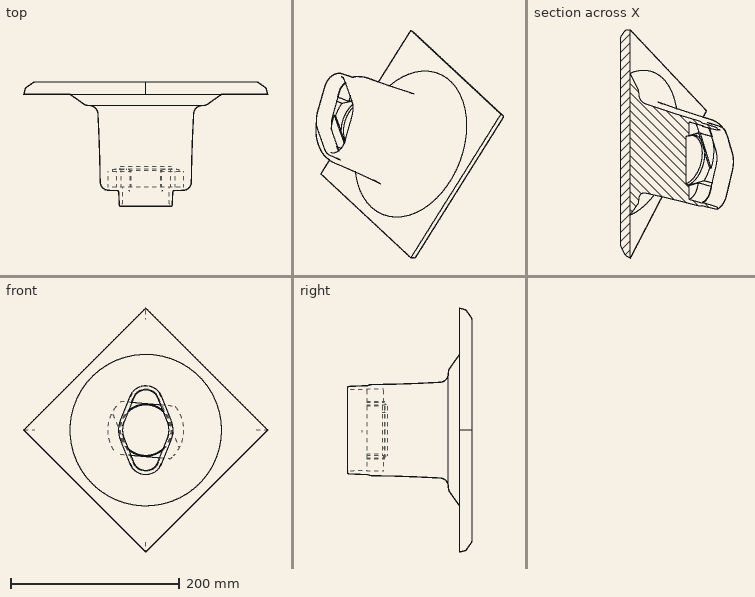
import cadquery as cq
import math

TOTAL_HEIGHT = 148.0
EDGE_TOLERANCE = 0.1

PLATE_SIDE = 205.0
PLATE_TURN = 45.0
PLATE_THICKNESS = 15.0
PLATE_EDGE_HEIGHT = 7.6
PLATE_EDGE_DRAFT = 10.0
PLATE_BEVEL_ANGLE = 45.0
PLATE_BEVEL_ROUND = 5.0
PLATE_BACK_ROUND = 2.5

FLANGE_RADIUS = 90.0
FLANGE_SLOPE = 35.0
FLANGE_HEIGHT = 13.3
FLANGE_ROUND = 10.0
STEP_OUTER_RADIUS = 68.0
STEP_INNER_RADIUS = 67.0
ROOT_ROUND = 10.0
BARREL_TOP_HEIGHT = 128.6
BARREL_TOP_RADIUS = 54.2
BARREL_HOLLOW = 0.6
BARREL_TOP_ROUND = 10.0
CAP_RISE = 1.2

COLLAR_WAIST_RADIUS = 31.5
COLLAR_TIP_RADIUS = 19.4
COLLAR_TIP_REACH = 52.0
COLLAR_ROOT_HEIGHT = 118.0
COLLAR_DRAFT_HEIGHT = 131.0
COLLAR_DRAFT = 2.5
COLLAR_RIM_ROUND = 2.0
COLLAR_ROOT_ROUND = 1.5

KEYWAY_RIM_WALL = 3.4
KEYWAY_MOUTH_DRAFT = 3.0
KEYWAY_NECK_HEIGHT = 139.0
KEYWAY_NECK_DRAFT = 1.0
KEYWAY_RIM_ROUND = 1.0
CHAMBER_TOP_HEIGHT = 125.0
CHAMBER_FLOOR_HEIGHT = 104.0
CHAMBER_RADIUS = 45.0
CHAMBER_HALF_WIDTH = 31.4
CHAMBER_TILT = 5.0
CHAMBER_DISH = 1.5
TIP_WALL = 3.2
TIP_FLOOR_STEP = 1.0
STOP_HEIGHT = 2.2
STOP_DISTANCE = 29.0
STOP_ANGLE = 22.0

RECESS_DIAMETER = 60.0
RECESS_FLAT_DIAMETER = 57.0
RECESS_MOUTH_DIAMETER = 62.4
RECESS_DEPTH = 2.0
RECESS_RING_RISE = 0.1


def plane_at(height):
    """Drawing plane across the axis: local x is +X, local y is +Z, the normal is -Y."""
    return cq.Workplane("XZ", origin=(0, -height, 0))


def half_section():
    """Drawing plane through the axis: local x is the radius, local y is the height."""
    return cq.Workplane(cq.Plane((0, 0, 0), xDir=(1, 0, 0), normal=(0, 0, -1)))


def turned(profile):
    """Full revolution of a closed half section about the axis."""
    return profile.revolve(360, (0, 0, 0), (0, 1, 0))


def turn_about_axis(body, angle):
    return body.rotate((0, 0, 0), (0, 1, 0), angle)


def edges_at(height, reach):
    """Selector for the edges that lie flat at `height`, within `reach` of the axis in X and Z."""
    return cq.selectors.BoxSelector(
        (-reach, -height - EDGE_TOLERANCE, -reach),
        (reach, -height + EDGE_TOLERANCE, reach),
        boundingbox=True,
    )


def lobe(height, inset):
    """Lobed outline, moved inward by `inset`, in the plane at `height`."""
    waist = COLLAR_WAIST_RADIUS - inset
    tip = COLLAR_TIP_RADIUS - inset
    tip_centre = COLLAR_TIP_REACH - COLLAR_TIP_RADIUS
    flat_angle = math.asin((waist - tip) / tip_centre)
    cos_flat = math.cos(flat_angle)
    sin_flat = math.sin(flat_angle)
    waist_x = waist * cos_flat
    waist_y = waist * sin_flat
    tip_x = tip * cos_flat
    tip_y = tip_centre + tip * sin_flat
    tip_end = tip_centre + tip
    return (
        plane_at(height)
        .moveTo(waist_x, -waist_y)
        .threePointArc((waist, 0), (waist_x, waist_y))
        .lineTo(tip_x, tip_y)
        .threePointArc((0, tip_end), (-tip_x, tip_y))
        .lineTo(-waist_x, waist_y)
        .threePointArc((-waist, 0), (-waist_x, -waist_y))
        .lineTo(-tip_x, -tip_y)
        .threePointArc((0, -tip_end), (tip_x, -tip_y))
        .close()
    )


def make_plate():
    bevel_height = PLATE_THICKNESS - PLATE_EDGE_HEIGHT
    bevel_side = PLATE_SIDE - 2 * PLATE_EDGE_HEIGHT * math.tan(math.radians(PLATE_EDGE_DRAFT))
    edge = plane_at(PLATE_THICKNESS).rect(PLATE_SIDE, PLATE_SIDE)
    edge = edge.extrude(-PLATE_EDGE_HEIGHT, taper=PLATE_EDGE_DRAFT)
    bevel = plane_at(bevel_height).rect(bevel_side, bevel_side)
    bevel = bevel.extrude(-bevel_height, taper=PLATE_BEVEL_ANGLE)
    plate = edge.union(bevel)
    plate = plate.edges(edges_at(bevel_height, PLATE_SIDE)).fillet(PLATE_BEVEL_ROUND)
    plate = plate.faces(">Y").edges().fillet(PLATE_BACK_ROUND)
    return turn_about_axis(plate, PLATE_TURN)


def make_barrel():
    """Foot flange, barrel and domed end, turned about the axis."""
    slope = math.radians(FLANGE_SLOPE)
    step_height = PLATE_THICKNESS + FLANGE_HEIGHT
    round_radius = STEP_OUTER_RADIUS + FLANGE_ROUND * math.sin(slope)
    round_height = step_height - FLANGE_ROUND * (1 - math.cos(slope))
    round_mid = (
        STEP_OUTER_RADIUS + FLANGE_ROUND * math.sin(slope / 2),
        step_height - FLANGE_ROUND * (1 - math.cos(slope / 2)),
    )
    root_radius = STEP_INNER_RADIUS - ROOT_ROUND
    root_height = step_height + ROOT_ROUND
    root_mid = (
        STEP_INNER_RADIUS - ROOT_ROUND * math.sin(math.pi / 4),
        root_height - ROOT_ROUND * math.cos(math.pi / 4),
    )
    side_mid = (
        (root_radius + BARREL_TOP_RADIUS) / 2 - BARREL_HOLLOW,
        (root_height + BARREL_TOP_HEIGHT) / 2,
    )
    cap_mid = (BARREL_TOP_RADIUS / 2, BARREL_TOP_HEIGHT + CAP_RISE * 3 / 4)
    profile = (
        half_section()
        .moveTo(0, PLATE_THICKNESS)
        .lineTo(FLANGE_RADIUS, PLATE_THICKNESS)
        .lineTo(round_radius, round_height)
        .threePointArc(round_mid, (STEP_OUTER_RADIUS, step_height))
        .lineTo(STEP_INNER_RADIUS, step_height)
        .threePointArc(root_mid, (root_radius, root_height))
        .threePointArc(side_mid, (BARREL_TOP_RADIUS, BARREL_TOP_HEIGHT))
        .threePointArc(cap_mid, (0, BARREL_TOP_HEIGHT + CAP_RISE))
        .close()
    )
    barrel = turned(profile)
    return barrel.edges(edges_at(BARREL_TOP_HEIGHT, FLANGE_RADIUS)).fillet(BARREL_TOP_ROUND)


def make_collar():
    """Lobed collar, widening from the rim, then running straight down into the barrel."""
    drafted_length = TOTAL_HEIGHT - COLLAR_DRAFT_HEIGHT
    widening = drafted_length * math.tan(math.radians(COLLAR_DRAFT))
    drafted = lobe(TOTAL_HEIGHT, 0).extrude(-drafted_length, taper=-COLLAR_DRAFT)
    straight = lobe(COLLAR_DRAFT_HEIGHT, -widening).extrude(COLLAR_ROOT_HEIGHT - COLLAR_DRAFT_HEIGHT)
    return drafted.union(straight)


def make_keyway():
    """Lobed opening: a drafted mouth, a neck, and the wider lobed ends of the chamber."""
    mouth_depth = TOTAL_HEIGHT - KEYWAY_NECK_HEIGHT
    neck_wall = KEYWAY_RIM_WALL + mouth_depth * math.tan(math.radians(KEYWAY_MOUTH_DRAFT))
    mouth = lobe(TOTAL_HEIGHT, KEYWAY_RIM_WALL).extrude(-mouth_depth, taper=KEYWAY_MOUTH_DRAFT)
    neck_depth = KEYWAY_NECK_HEIGHT - CHAMBER_TOP_HEIGHT
    neck = lobe(KEYWAY_NECK_HEIGHT, neck_wall).extrude(-neck_depth, taper=KEYWAY_NECK_DRAFT)
    tip_floor = CHAMBER_FLOOR_HEIGHT + TIP_FLOOR_STEP
    tips = lobe(tip_floor, TIP_WALL).extrude(CHAMBER_TOP_HEIGHT - tip_floor)
    return mouth.union(neck).union(tips)


def make_stop():
    """Block whose lower part, left standing in the chamber, is a raised floor pad."""
    base = CHAMBER_FLOOR_HEIGHT - CHAMBER_DISH
    stop = plane_at(base).center(STOP_DISTANCE + CHAMBER_RADIUS / 2, 0)
    stop = stop.rect(CHAMBER_RADIUS, 2 * CHAMBER_RADIUS).extrude(CHAMBER_DISH + STOP_HEIGHT)
    return turn_about_axis(stop, -STOP_ANGLE)


def make_chamber():
    """Round chamber with two flat walls, in which a lobed key can turn."""
    height = CHAMBER_TOP_HEIGHT - CHAMBER_FLOOR_HEIGHT
    room = turned(
        half_section()
        .moveTo(0, CHAMBER_FLOOR_HEIGHT - CHAMBER_DISH)
        .lineTo(CHAMBER_RADIUS, CHAMBER_FLOOR_HEIGHT)
        .lineTo(CHAMBER_RADIUS, CHAMBER_TOP_HEIGHT)
        .lineTo(0, CHAMBER_TOP_HEIGHT)
        .close()
    )
    slab = plane_at(CHAMBER_FLOOR_HEIGHT - CHAMBER_DISH)
    slab = slab.rect(2 * CHAMBER_RADIUS, 2 * CHAMBER_HALF_WIDTH).extrude(height + CHAMBER_DISH)
    slab = turn_about_axis(slab, CHAMBER_TILT)
    room = room.intersect(slab)
    for half_turn in (0, 180):
        room = room.cut(turn_about_axis(make_stop(), half_turn))
    return room


def make_recess():
    """Round recess in the chamber floor: a tapered mouth, a sloping ring and a flat centre."""
    floor = CHAMBER_FLOOR_HEIGHT - CHAMBER_DISH
    bottom = floor - RECESS_DEPTH
    return turned(
        half_section()
        .moveTo(0, bottom)
        .lineTo(RECESS_FLAT_DIAMETER / 2, bottom)
        .lineTo(RECESS_DIAMETER / 2, bottom + RECESS_RING_RISE)
        .lineTo(RECESS_MOUTH_DIAMETER / 2, CHAMBER_FLOOR_HEIGHT)
        .lineTo(0, CHAMBER_FLOOR_HEIGHT)
        .close()
    )


def make_socket():
    socket = make_barrel().union(make_collar())
    socket = socket.edges("%BSPLINE").fillet(COLLAR_ROOT_ROUND)
    socket = socket.faces("<Y").edges().fillet(COLLAR_RIM_ROUND)
    socket = socket.cut(make_keyway())
    keyway_rim = socket.faces("<Y").wires(cq.selectors.LengthNthSelector(0)).edges()
    socket = keyway_rim.fillet(KEYWAY_RIM_ROUND)
    return socket.cut(make_chamber()).cut(make_recess())


plate = make_plate()
socket = make_socket()
result = cq.Compound.makeCompound([plate.val(), socket.val()])